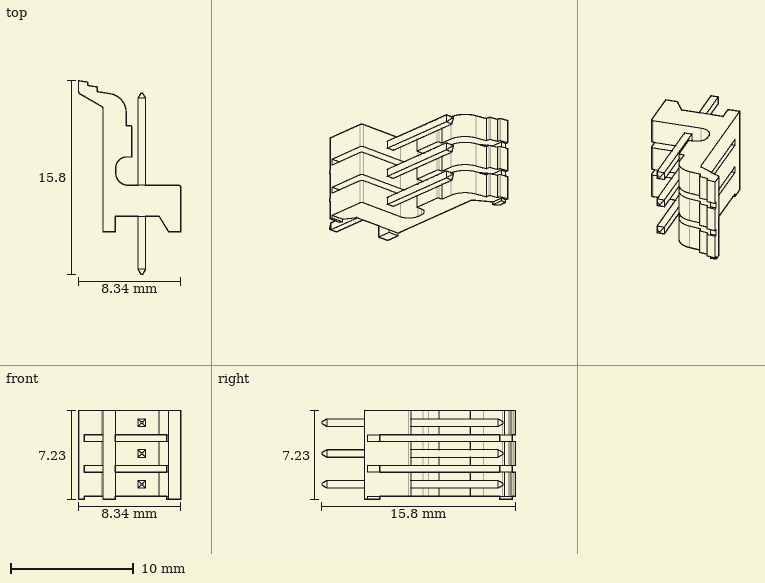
import cadquery as cq
import math


pin_count = 3
pitch = 2.5
tier_height = 1.99
rail_overhang = 0.24
lowest_pin_z = -pitch * (pin_count - 1) / 2
pin_levels = [lowest_pin_z + i * pitch for i in range(pin_count)]
stack_bottom = pin_levels[0] - tier_height / 2 - rail_overhang
stack_top = pin_levels[-1] + tier_height / 2
stack_height = stack_top - stack_bottom

pin_width = 0.63
pin_front = -3.45
pin_length = 14.75
pin_taper_length = 0.41
pin_end_width = 0.15

wall_left = -3.17
foot_width = 1.01
inner_foot_right = wall_left + foot_width
recess_left = -2.11
pad_right = -0.82
stem_right = -1.26
pad_front = 6.09
pad_back = 8.64

web_front = 1.26
web_back = 3.8
web_right = 3.19
outer_foot_left = web_right - foot_width
outer_foot_splay = 0.77
outer_foot_root = outer_foot_left - outer_foot_splay

lever_left = -5.15
lever_back = 12.32
lever_end_width = 1.03
lever_front = lever_back - lever_end_width
front_angle = 30
back_angle = 9
front_slope = math.tan(math.radians(front_angle))
back_slope = math.tan(math.radians(back_angle))
lever_root = lever_front - (wall_left - lever_left) * front_slope
step_pitch = 0.77
outer_step_depth = 0.27
inner_step_depth = 0.38
step_fall = step_pitch * back_slope
outer_step_x = lever_left + step_pitch
inner_step_x = outer_step_x + step_pitch
outer_step_top = lever_back - step_fall
outer_step_base = outer_step_top - outer_step_depth
inner_step_top = outer_step_base - step_fall
inner_step_base = inner_step_top - inner_step_depth
shoulder_y = inner_step_base - (stem_right - inner_step_x) * back_slope

shoulder_radius = 1.58
recess_front_radius = 1.0
recess_back_radius = 0.87
lever_end_radius = 0.2
lever_bend_radius = 0.24
web_corner_radius = 0.19
small_radius = 0.1

lever_rail_width = 0.47
rail_inset = 0.25
lever_rail_back = lever_back - rail_inset


def round_edge(body, corner, radius):
    """Round the edge along Z that passes through the given (x, y) corner."""
    x, y = corner
    reach = 0.008
    at_corner = cq.selectors.BoxSelector(
        (x - reach, y - reach, stack_bottom), (x + reach, y + reach, stack_top)
    )
    return body.edges("|Z").edges(at_corner).fillet(radius)


def make_block():
    """Full-height block with the outline of the housing, before the tiers are separated."""
    lever_end_front = (lever_left, lever_front)
    outer_step = (outer_step_x, outer_step_top)
    inner_step = (inner_step_x, inner_step_top)
    shoulder = (stem_right, shoulder_y)
    pad_corner = (pad_right, pad_back)
    recess_back = (recess_left, pad_front)
    recess_front = (recess_left, web_back)
    web_corner = (web_right, web_back)
    lever_bend = (wall_left, lever_root)

    outline = [
        (wall_left, 0),
        lever_bend,
        lever_end_front,
        (lever_left, lever_back),
        outer_step,
        (outer_step_x, outer_step_base),
        inner_step,
        (inner_step_x, inner_step_base),
        shoulder,
        (stem_right, pad_back),
        pad_corner,
        (pad_right, pad_front),
        recess_back,
        recess_front,
        web_corner,
        (web_right, 0),
        (outer_foot_left, 0),
        (outer_foot_root, web_front),
        (inner_foot_right, web_front),
        (inner_foot_right, 0),
    ]
    block = (
        cq.Workplane("XY", origin=(0, 0, stack_bottom)).polyline(outline).close().extrude(stack_height)
    )
    block = round_edge(block, shoulder, shoulder_radius)
    block = round_edge(block, recess_front, recess_front_radius)
    block = round_edge(block, recess_back, recess_back_radius)
    block = round_edge(block, web_corner, web_corner_radius)
    block = round_edge(block, lever_bend, lever_bend_radius)
    block = round_edge(block, lever_end_front, lever_end_radius)
    for corner in (outer_step, inner_step, pad_corner):
        block = round_edge(block, corner, small_radius)
    return block


def make_box(left, right, front, back, bottom, height):
    """Box between the given limits in X and Y, rising from bottom."""
    return cq.Workplane("XY").box(right - left, back - front, height, centered=False).translate(
        (left, front, bottom)
    )


def make_pin(z):
    """Square pin with both ends tapered."""
    shaft_front = pin_front + pin_taper_length
    shaft_length = pin_length - 2 * pin_taper_length
    shaft = cq.Workplane("XZ", origin=(0, shaft_front, z)).rect(pin_width, pin_width).extrude(-shaft_length)
    for face in ("<Y", ">Y"):
        shaft = (
            shaft.faces(face)
            .workplane(centerOption="CenterOfMass")
            .rect(pin_width, pin_width)
            .workplane(offset=pin_taper_length)
            .rect(pin_end_width, pin_end_width)
            .loft(combine=True)
        )
    return shaft


def make_housing():
    """Tiers joined by the two foot rails and the lever rail, with a square hole for each pin."""
    block = make_block()

    inner_foot_rail = make_box(wall_left, inner_foot_right, 0, web_front, stack_bottom, stack_height)
    outer_foot_rail = make_box(outer_foot_root, web_right, 0, rail_inset, stack_bottom, stack_height)
    lever_rail = make_box(
        lever_left, lever_left + lever_rail_width, lever_root, lever_rail_back, stack_bottom, stack_height
    )
    housing = block.intersect(inner_foot_rail.add(outer_foot_rail).add(lever_rail).combine())

    for z in pin_levels:
        tier_zone = make_box(lever_left, web_right, 0, lever_back, z - tier_height / 2, tier_height)
        housing = housing.union(block.intersect(tier_zone))

    for z in pin_levels:
        pin_hole = make_box(
            -pin_width / 2, pin_width / 2, web_front, web_back, z - pin_width / 2, pin_width
        )
        housing = housing.cut(pin_hole)
    return housing


housing = make_housing()
pins = [make_pin(z) for z in pin_levels]

result = cq.Compound.makeCompound([housing.val(), *[pin.val() for pin in pins]])